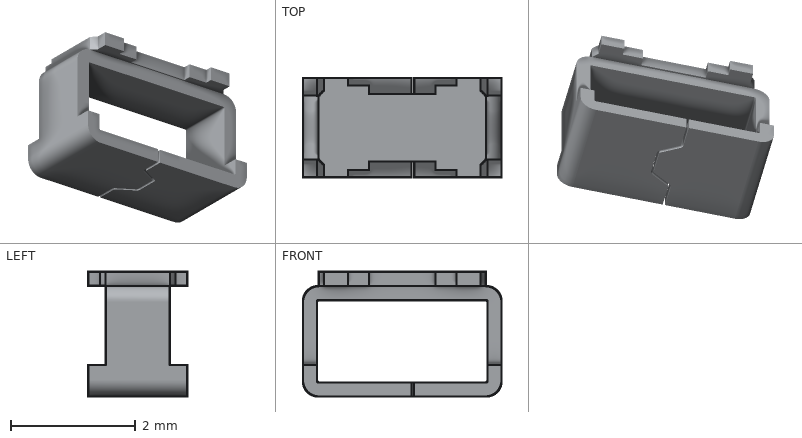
import cadquery as cq
import math

length = 3.2
base_width = 1.6
sleeve_height = 1.78
sleeve_width = 1.03
foot_height = 0.51
thickness = 0.23
outer_radius = 0.255
inner_radius = outer_radius - thickness

plate_length = length - 2 * outer_radius
corner_relief = 0.09
outer_notch_length = 1.75
outer_notch_depth = 0.12
inner_notch_length = 1.07
inner_notch_depth = 0.255

seam_gap = 0.042
seam_bend_radius = 0.02
seam_offset = 0.17
seam_tab_half_width = 0.41
seam_neck_half_width = 0.215


def rounded_prism(size_x, size_y, bottom, top, radius):
    """Block centred on X and Y, with its four Y-direction edges rounded."""
    block = cq.Workplane("XY").workplane(offset=bottom).rect(size_x, size_y).extrude(top - bottom)
    return block.edges("|Y").fillet(radius)


def make_sleeve():
    """Rectangular tube along Y, narrowed above the feet."""
    tube = rounded_prism(length, base_width, 0, sleeve_height, outer_radius)
    bore = rounded_prism(
        length - 2 * thickness, base_width, thickness, sleeve_height - thickness, inner_radius
    )
    base_envelope = cq.Workplane("XY").rect(length, base_width).extrude(foot_height)
    upper_envelope = cq.Workplane("XY").rect(length, sleeve_width).extrude(sleeve_height)
    return tube.cut(bore).intersect(base_envelope.union(upper_envelope))


def seam_side(side):
    """Points along one side of the seam: side is -1 for the left and +1 for the right."""
    edge = base_width / 2
    half_gap = seam_gap / 2
    slant_turn = math.atan2(2 * seam_offset, seam_tab_half_width - seam_neck_half_width)
    miter = side * half_gap * math.tan(slant_turn / 2)
    outer_x = seam_offset + side * half_gap
    inner_x = -seam_offset + side * half_gap
    tab_y = seam_tab_half_width - miter
    neck_y = seam_neck_half_width - miter
    return [
        (outer_x, -edge),
        (outer_x, -tab_y),
        (inner_x, -neck_y),
        (inner_x, neck_y),
        (outer_x, tab_y),
        (outer_x, edge),
    ]


def round_upright_edges(slot, corners, radius):
    """Round the vertical slot edges that stand at the given XY corners."""
    for x, y in corners:
        corner_edge = cq.selectors.NearestToPointSelector((x, y, thickness / 2))
        slot = slot.edges("|Z").edges(corner_edge).fillet(radius)
    return slot


def make_seam():
    """Dovetail slot of constant width through the floor, with rounded bends."""
    left_side = seam_side(-1)
    right_side = seam_side(1)
    slot = cq.Workplane("XY").polyline(left_side + right_side[::-1]).close().extrude(thickness)
    tab_inner, neck_outer, neck_outer_back, tab_inner_back = left_side[1:-1]
    tab_outer, neck_inner, neck_inner_back, tab_outer_back = right_side[1:-1]
    inner_bends = [tab_inner, tab_inner_back, neck_inner, neck_inner_back]
    outer_bends = [tab_outer, tab_outer_back, neck_outer, neck_outer_back]
    slot = round_upright_edges(slot, inner_bends, seam_bend_radius)
    return round_upright_edges(slot, outer_bends, seam_bend_radius + seam_gap)


def make_plate():
    """Flat plate on top of the sleeve."""
    level = cq.Workplane("XY").workplane(offset=sleeve_height)
    half_sleeve = sleeve_width / 2
    half_length = plate_length / 2
    half_width = base_width / 2
    quarter = [
        (half_length, half_sleeve),
        (half_length - corner_relief, half_sleeve + corner_relief),
        (half_length - corner_relief, half_width),
        (outer_notch_length / 2, half_width),
        (outer_notch_length / 2, half_width - outer_notch_depth),
        (inner_notch_length / 2, half_width - outer_notch_depth),
        (inner_notch_length / 2, half_width - inner_notch_depth),
    ]
    back = quarter + [(-x, y) for x, y in reversed(quarter)]
    front = [(x, -y) for x, y in reversed(back)]
    return level.polyline(back + front).close().extrude(thickness)


result = make_sleeve().cut(make_seam()).union(make_plate())